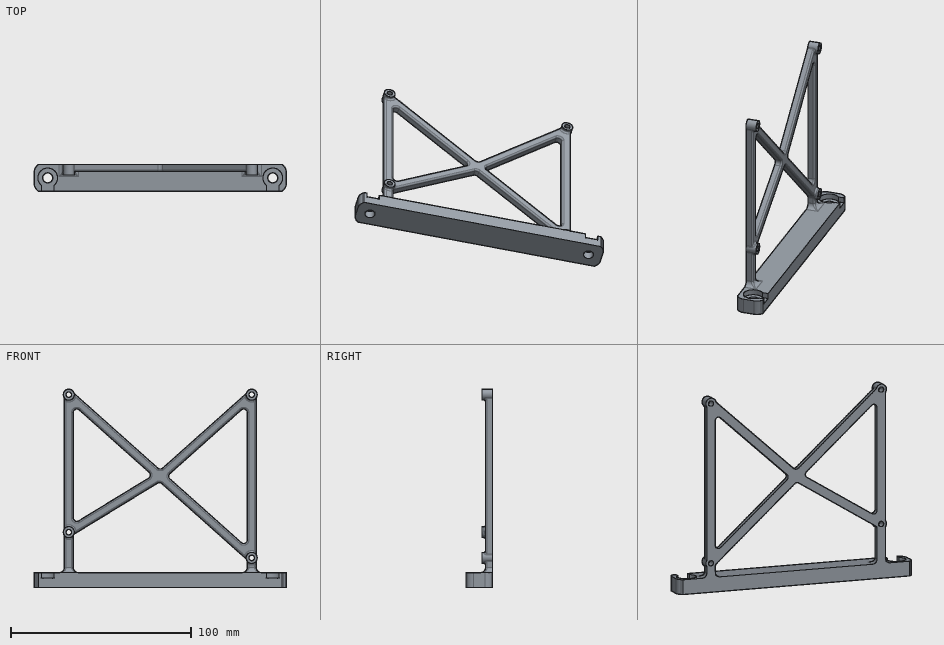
import cadquery as cq
import math

overall_height = 110.2

base_length = 140.0
base_depth = 15.0
base_height = 8.4

corner_arc_depth = 4.3
corner_flat_depth = 0.7
corner_flat_inset = 1.7
corner_end_inset = 2.4

seat_inset = 7.5
screw_hole_diameter = 5.5
seat_diameter = 10.9
seat_depth = 3.1
seat_slot_width = 7.0

bar_width = 5.0
frame_thickness = 4.0
frame_edge_radius = 1.0
frame_corner_radius = 2.0
foot_fillet_radius = 2.8

boss_diameter = 6.2
boss_hole_diameter = 3.0
boss_length = 6.0
boss_fillet_radius = 1.0

boss_spacing = 101.5
left_boss_drop = 76.3
right_boss_drop = 90.6
left_x = -boss_spacing / 2
right_x = boss_spacing / 2
top_z = overall_height - boss_diameter / 2
upper_left = (left_x, top_z)
upper_right = (right_x, top_z)
lower_left = (left_x, top_z - left_boss_drop)
lower_right = (right_x, top_z - right_boss_drop)
boss_centres = [upper_left, upper_right, lower_left, lower_right]

hub = ((left_x + right_x) / 2, (upper_left[1] + lower_right[1]) / 2)

tolerance = 0.01


def on_back():
    """Sketch plane on the back face: local axes X and Z, extruding towards -Y."""
    return cq.Workplane("XZ")


def bar(start, end):
    """Straight bar of the frame with square ends on the two given points."""
    run = end[0] - start[0]
    rise = end[1] - start[1]
    return (
        on_back()
        .center((start[0] + end[0]) / 2, (start[1] + end[1]) / 2)
        .transformed(rotate=(0, 0, math.degrees(math.atan2(rise, run))))
        .rect(math.hypot(run, rise), bar_width)
        .extrude(frame_thickness)
    )


def discs(centres, diameter, length):
    return on_back().pushPoints(centres).circle(diameter / 2).extrude(length)


def distance_to_boss(point):
    """Distance in the frame plane from a point to the nearest boss centre."""
    return min(math.hypot(point.x - x, point.z - z) for x, z in boss_centres)


def make_frame():
    """Two posts and four diagonals, with the corners between the bars rounded."""
    frame = discs(boss_centres, bar_width, frame_thickness)
    for centre in boss_centres:
        frame = frame.union(bar(centre, hub))
    for x, z in (upper_left, upper_right):
        frame = frame.union(bar((x, z), (x, base_height)))

    corners = frame.edges("|Y").filter(
        lambda edge: distance_to_boss(edge.Center()) > boss_diameter / 2
        and edge.Center().z > base_height + tolerance
    )
    return corners.fillet(frame_corner_radius)


def make_base():
    """Plain bar whose four upright corners are rounded and end in a small flat."""
    half_length = base_length / 2
    half_depth = base_depth / 2
    corner = [
        (half_length, half_depth - corner_arc_depth),
        (half_length - corner_flat_inset, half_depth - corner_flat_depth),
        (half_length - corner_end_inset, half_depth),
    ]
    quarter = (
        cq.Workplane("XY")
        .lineTo(half_length, 0)
        .lineTo(*corner[0])
        .tangentArcPoint(corner[1], relative=False)
        .lineTo(*corner[2])
        .lineTo(0, half_depth)
        .close()
        .extrude(base_height)
    )
    half = quarter.union(quarter.mirror("YZ"))
    return half.union(half.mirror("XZ")).translate((0, -half_depth, 0))


def cut_screw_seats(body):
    """Screw holes with round recesses that open towards the front through a slot."""
    floor_z = base_height - seat_depth
    for side in (-1, 1):
        seat = (
            cq.Workplane("XY")
            .workplane(offset=floor_z)
            .center(side * (base_length / 2 - seat_inset), -base_depth / 2)
        )
        body = body.cut(seat.circle(seat_diameter / 2).extrude(seat_depth))
        slot = seat.center(0, -base_depth / 4).rect(seat_slot_width, base_depth / 2)
        body = body.cut(slot.extrude(seat_depth))
        body = body.cut(seat.circle(screw_hole_diameter / 2).extrude(-floor_z))
    return body


def add_feet(body):
    """Concave fillets that spread the two posts over the top of the base."""
    for x in (left_x, right_x):
        post_outline = cq.selectors.BoxSelector(
            (x - bar_width, -frame_thickness - tolerance, base_height - tolerance),
            (x + bar_width, -tolerance, base_height + tolerance),
        )
        body = body.edges(post_outline).fillet(foot_fillet_radius)
    return body


def round_front_edges(body):
    """Round the front edges of the bars, running out along the corners of the feet."""
    foot_top = base_height + foot_fillet_radius
    bar_edges = cq.selectors.BoxSelector(
        (-base_length, -frame_thickness - tolerance, foot_top + tolerance),
        (base_length, -frame_thickness + tolerance, overall_height),
    )
    foot_corners = cq.selectors.BoxSelector(
        (-base_length, -frame_thickness - foot_fillet_radius, base_height + tolerance),
        (base_length, -frame_thickness - tolerance, foot_top - tolerance),
    )
    return body.edges(bar_edges + foot_corners).fillet(frame_edge_radius)


def is_boss_root(edge):
    """True for an edge where the side of a boss meets the frame."""
    on_boss = all(
        abs(distance_to_boss(edge.positionAt(share)) - boss_diameter / 2) < tolerance
        for share in (0, 0.25, 0.5, 0.75, 1)
    )
    box = edge.BoundingBox()
    on_back_face = box.ymin > -tolerance
    on_boss_face = box.ymin < -boss_length + tolerance
    return on_boss and not on_back_face and not on_boss_face


def add_bosses(body):
    """Drilled bosses at the bar ends, blended into the frame."""
    body = body.union(discs(boss_centres, boss_diameter, boss_length))
    body = body.edges().filter(is_boss_root).fillet(boss_fillet_radius)
    return body.cut(discs(boss_centres, boss_hole_diameter, boss_length))


body = make_base().union(make_frame())
body = add_feet(body)
body = round_front_edges(body)
body = add_bosses(body)
result = cut_screw_seats(body)